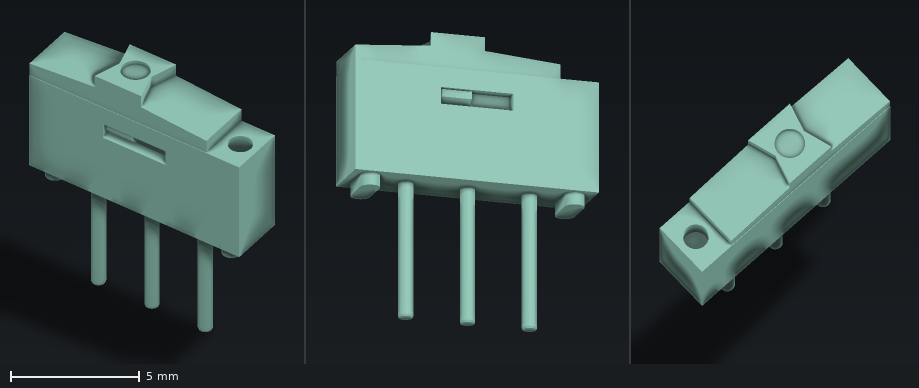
import cadquery as cq

body_length = 10.0
body_width = 2.44
body_bottom = 5.5
body_height = 4.5
body_top = body_bottom + body_height
front_face = -body_width / 2

pin_diameter = 0.6
pin_pitch = 2.54
pin_bevel_height = 0.08
pin_bevel_width = 0.03

foot_length = 2.0
foot_width = 0.8
foot_height = 0.5
foot_spacing = 8.4

total_height = 11.4
cover_length = 8.42
cover_width = 2.39
cover_center = (cover_length - body_length) / 2
cover_end_height = 0.59
cover_ridge_height = 0.84
actuator_length = 2.21
actuator_notch = 0.35
dimple_diameter = 1.2
dimple_depth = 0.2

hole_diameter = 1.0
hole_depth = 1.0
hole_x = 4.21

window_length = 2.99
window_height = 0.68
window_drop = 0.81
window_depth = 0.48
window_top = body_top - window_drop
window_bottom = window_top - window_height
tongue_length = 1.23
tongue_right = -0.18
tongue_setback = 0.13
tongue_top_gap = 0.03
tongue_face_bottom = 0.34


def make_housing():
    """Block with a blind top hole and a shallow side window."""
    block = cq.Workplane("XY", origin=(0, 0, body_bottom)).box(
        body_length, body_width, body_height, centered=(True, True, False)
    )
    hole = (
        cq.Workplane("XY", origin=(hole_x, 0, body_top))
        .circle(hole_diameter / 2)
        .extrude(-hole_depth)
    )
    window = cq.Workplane("XY", origin=(0, front_face, window_bottom)).box(
        window_length, window_depth, window_height, centered=(True, False, False)
    )
    return block.cut(hole).cut(window)


def make_tongue():
    """Tongue on the window's back wall, its underside sloping back to the floor."""
    face_y = front_face + tongue_setback
    back_y = front_face + window_depth
    tongue_top = window_top - tongue_top_gap
    return (
        cq.Workplane("YZ", origin=(tongue_right - tongue_length, 0, 0))
        .moveTo(back_y, tongue_top)
        .lineTo(face_y, tongue_top)
        .lineTo(face_y, window_top - tongue_face_bottom)
        .lineTo(back_y, window_bottom)
        .close()
        .extrude(tongue_length)
    )


def make_cover():
    """Sloped cover and its dimpled actuator with V-notched ends."""
    half_cover = cover_length / 2
    half_actuator = actuator_length / 2
    half_width = cover_width / 2
    slope = (cover_ridge_height - cover_end_height) / (half_cover - half_actuator)
    peak_height = cover_end_height + slope * half_cover
    slopes = (
        cq.Workplane("XZ", origin=(cover_center, half_width, body_top))
        .moveTo(-half_cover, 0)
        .lineTo(-half_cover, cover_end_height)
        .lineTo(0, peak_height)
        .lineTo(half_cover, cover_end_height)
        .lineTo(half_cover, 0)
        .close()
        .extrude(cover_width)
    )
    actuator = (
        cq.Workplane("XY", origin=(cover_center, 0, body_top))
        .moveTo(-half_actuator, -half_width)
        .lineTo(half_actuator, -half_width)
        .lineTo(half_actuator - actuator_notch, 0)
        .lineTo(half_actuator, half_width)
        .lineTo(-half_actuator, half_width)
        .lineTo(-half_actuator + actuator_notch, 0)
        .close()
        .extrude(total_height - body_top)
    )
    dimple = (
        cq.Workplane("XY", origin=(cover_center, 0, total_height))
        .circle(dimple_diameter / 2)
        .extrude(-dimple_depth)
    )
    return slopes.union(actuator).cut(dimple)


def make_pin(x):
    """Round terminal with a beveled tip."""
    return (
        cq.Workplane("XY", origin=(x, 0, 0))
        .circle(pin_diameter / 2)
        .extrude(body_bottom)
        .faces("<Z")
        .chamfer(pin_bevel_height, pin_bevel_width)
    )


def make_foot(x):
    """Round-ended standoff, long across the housing."""
    return (
        cq.Workplane("XY", origin=(x, 0, body_bottom))
        .slot2D(foot_length, foot_width, 90)
        .extrude(-foot_height)
    )


result = make_housing().union(make_tongue()).union(make_cover())
for pin_x in (-pin_pitch, 0, pin_pitch):
    result = result.union(make_pin(pin_x))
for foot_x in (-foot_spacing / 2, foot_spacing / 2):
    result = result.union(make_foot(foot_x))